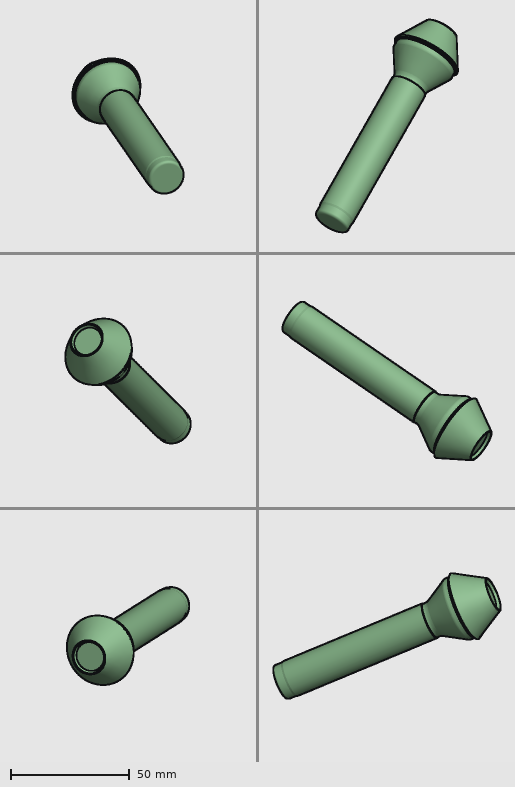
import cadquery as cq
import math

total_length = 100.0
lip_diameter = 30.2
head_diameter = 28.0
shank_diameter = 16.0
neck_diameter = 15.5
cone_angle = math.radians(30)

cap_front_diameter = 14.9
lip_peak = 13.4
lip_back = 13.9
lip_back_diameter = 29.0
cap_length = 14.5
recess_diameter = 13.8
recess_floor_diameter = 12.4
recess_depth = 1.5

neck_cone_corner = 27.6
shank_start = 29.5
shank_taper_start = 94.9
end_land_start = 95.8
head_fillet = 1.6
neck_fillet = 3.0
end_fillet = 1.2

lip_radius = lip_diameter / 2
cap_front_radius = cap_front_diameter / 2
head_radius = head_diameter / 2
shank_radius = shank_diameter / 2
neck_radius = neck_diameter / 2
shank_step = shank_radius - neck_radius
head_cone_corner = neck_cone_corner - (head_radius - neck_radius) / math.tan(cone_angle)


def turned(profile):
    """Revolve a closed (x, radius) outline about the X axis."""
    outline = cq.Workplane("XY").polyline(profile).close()
    return outline.revolve(360, (0, 0, 0), (1, 0, 0))


def round_edge(body, x, radius, fillet):
    """Fillet the circular edge at station x with the given radius."""
    margin = 0.01
    reach = radius + margin
    box = cq.selectors.BoxSelector((x - margin, -reach, -reach), (x + margin, reach, reach), boundingbox=True)
    return body.edges(box).fillet(fillet)


def make_cap():
    """Cone with a sharp lip, a short land as wide as the head, and a tapered recess in its front face."""
    return turned([
        (0, recess_diameter / 2),
        (0, cap_front_radius),
        (lip_peak, lip_radius),
        (lip_back, lip_back_diameter / 2),
        (lip_back, head_radius),
        (cap_length, head_radius),
        (cap_length, 0),
        (recess_depth, 0),
        (recess_depth, recess_floor_diameter / 2),
    ])


def make_spindle():
    """Head with a conical back, a neck and a long shank with a reduced, rounded end."""
    spindle = turned([
        (cap_length, 0),
        (cap_length, head_radius),
        (head_cone_corner, head_radius),
        (neck_cone_corner, neck_radius),
        (shank_start, neck_radius),
        (shank_start + shank_step, shank_radius),
        (shank_taper_start, shank_radius),
        (end_land_start, neck_radius),
        (total_length, neck_radius),
        (total_length, 0),
    ])
    spindle = round_edge(spindle, head_cone_corner, head_radius, head_fillet)
    spindle = round_edge(spindle, neck_cone_corner, neck_radius, neck_fillet)
    return round_edge(spindle, total_length, neck_radius, end_fillet)


cap = make_cap()
spindle = make_spindle()
result = cq.Compound.makeCompound([cap.val(), spindle.val()])